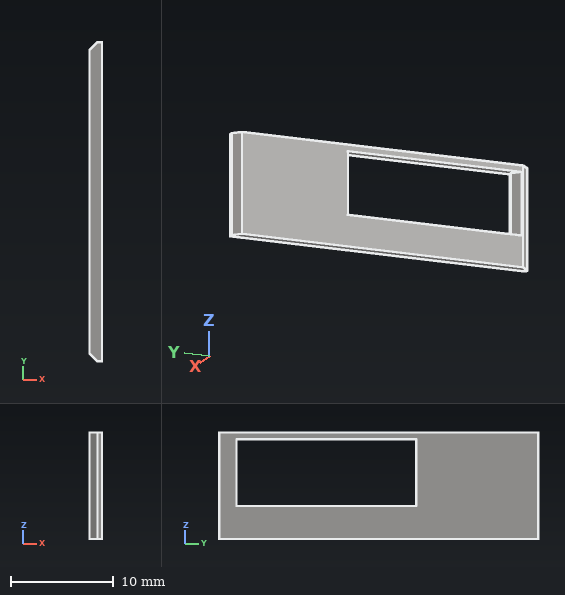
import cadquery as cq

thickness = 1.25
length = 31.1
height = 10.4

end_bevel = 0.78

window_y_min = -14.62
window_y_max = 3.65
window_z_min = -1.95
window_z_max = 4.5
window_bevel = 0.78

front_x = -thickness / 2
back_x = thickness / 2


def make_plate():
    plate = cq.Workplane("XY").box(thickness, length, height)
    return plate.faces("<X").edges("|Z").chamfer(end_bevel)


def make_window():
    """Window whose -Y end slopes parallel to the plate's +Y bevel, then runs straight through."""
    outline = [
        (front_x, window_y_min),
        (front_x + window_bevel, window_y_min + window_bevel),
        (back_x, window_y_min + window_bevel),
        (back_x, window_y_max),
        (front_x, window_y_max),
    ]
    return (
        cq.Workplane("XY", origin=(0, 0, window_z_min))
        .polyline(outline)
        .close()
        .extrude(window_z_max - window_z_min)
    )


result = make_plate().cut(make_window())